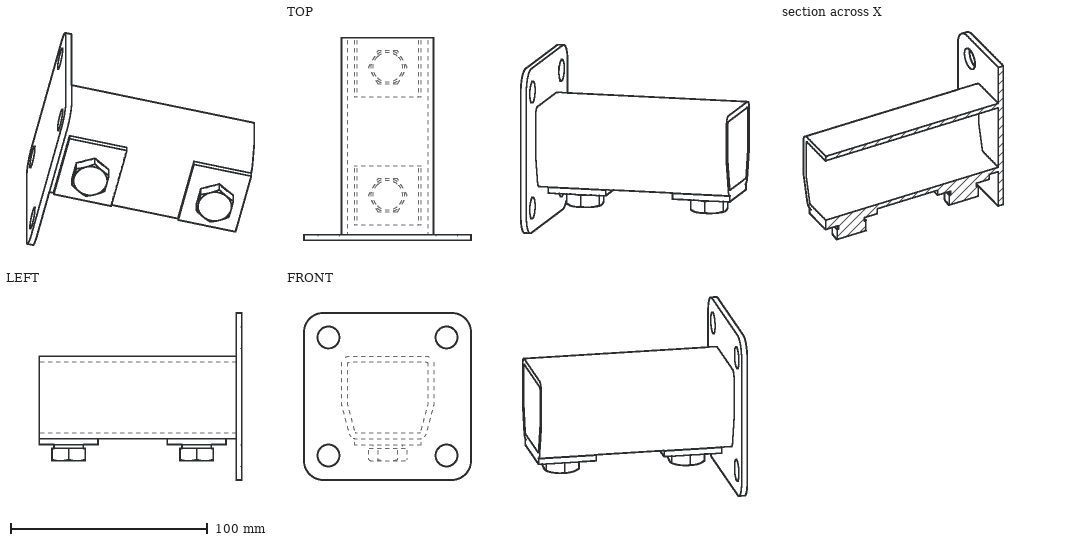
import cadquery as cq
import math

overall_length = 103.0
plate_size = 85.0
plate_thickness = 3.0
plate_corner_radius = 10.0
hole_diameter = 11.0
hole_spacing = 59.9

tube_width = 47.0
tube_top = 20.5
tube_height = 42.0
bend_height = -4.0
lean_angle = 15.0
tube_corner_radius = 4.0
tube_wall = 3.0

pad_length = 30.0
pad_width = 34.0
pad_thickness = 3.0
pad_spacing = 65.0
collar_diameter = 15.0
collar_height = 1.9
hex_across_flats = 17.0
hex_height = 6.4
hex_chamfer_angle = 30.0

tube_bottom = tube_top - tube_height
pad_bottom = tube_bottom - pad_thickness
rear_pad_y = overall_length - pad_length / 2
pad_positions = (rear_pad_y, rear_pad_y - pad_spacing)


def foot_plate():
    """Square plate with rounded corners and four mounting holes."""
    return (
        cq.Workplane("XZ")
        .rect(plate_size, plate_size)
        .extrude(-plate_thickness)
        .edges("|Y")
        .fillet(plate_corner_radius)
        .faces("<Y")
        .workplane(origin=(0, 0, 0))
        .rect(hole_spacing, hole_spacing, forConstruction=True)
        .vertices()
        .hole(hole_diameter)
    )


def tube():
    """Hollow tube, open at the rear, rounded along every bend."""
    half_width = tube_width / 2
    lean = (bend_height - tube_bottom) * math.tan(math.radians(lean_angle))
    outline = [
        (-half_width, tube_top),
        (half_width, tube_top),
        (half_width, bend_height),
        (half_width - lean, tube_bottom),
        (-half_width + lean, tube_bottom),
        (-half_width, bend_height),
    ]
    return (
        cq.Workplane("XZ", origin=(0, plate_thickness, 0))
        .polyline(outline)
        .close()
        .extrude(plate_thickness - overall_length)
        .edges("|Y")
        .fillet(tube_corner_radius)
        .faces("<Y or >Y")
        .shell(-tube_wall)
    )


def clamp_pad(y):
    """Flat pad against the underside of the tube."""
    return (
        cq.Workplane("XY", origin=(0, y, pad_bottom))
        .rect(pad_width, pad_length)
        .extrude(pad_thickness)
    )


def bolt_head(y):
    """Round collar and hexagon head, with flats facing along Y and a chamfered lower rim."""
    hex_top = pad_bottom - collar_height
    across_corners = hex_across_flats / math.cos(math.pi / 6)
    collar = (
        cq.Workplane("XY", origin=(0, y, hex_top))
        .circle(collar_diameter / 2)
        .extrude(collar_height)
    )
    hexagon = (
        cq.Workplane("XY", origin=(0, y, hex_top))
        .polygon(6, across_corners)
        .extrude(-hex_height)
    )
    corner_overhang = (across_corners - hex_across_flats) / 2
    chamfer_height = corner_overhang * math.tan(math.radians(hex_chamfer_angle))
    chamfer_envelope = (
        cq.Workplane("XY", origin=(0, y, hex_top))
        .circle(across_corners / 2)
        .extrude(-hex_height)
        .faces("<Z")
        .chamfer(chamfer_height, corner_overhang)
    )
    return collar.union(hexagon.intersect(chamfer_envelope))


result = foot_plate().union(tube())
for pad_y in pad_positions:
    result = result.union(clamp_pad(pad_y)).union(bolt_head(pad_y))